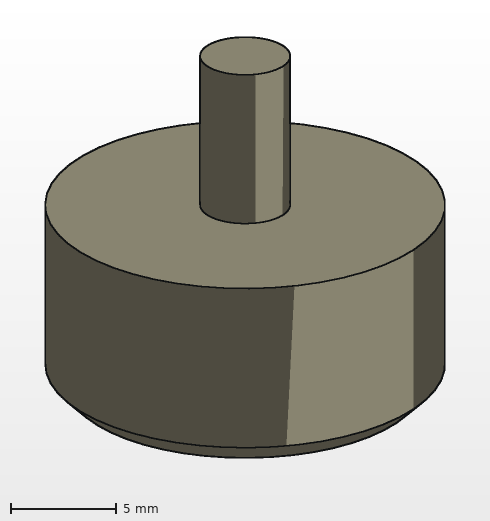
import cadquery as cq

body_diameter = 19.05
stem_diameter = 4.3
total_height = 19.7
stem_length = 7.8
chamfer_size = 1.0
cone_height = 2.55

body_radius = body_diameter / 2
stem_radius = stem_diameter / 2
cone_radius = body_radius - chamfer_size
body_bottom = cone_height + chamfer_size
body_top = total_height - stem_length


def half_profile():
    """Half section in the XZ plane, from the cone tip up to the stem end."""
    return (
        cq.Workplane("XZ")
        .moveTo(0, 0)
        .lineTo(cone_radius, cone_height)
        .lineTo(body_radius, body_bottom)
        .lineTo(body_radius, body_top)
        .lineTo(stem_radius, body_top)
        .lineTo(stem_radius, total_height)
        .lineTo(0, total_height)
        .close()
    )


result = half_profile().revolve(360, (0, 0, 0), (0, 1, 0))